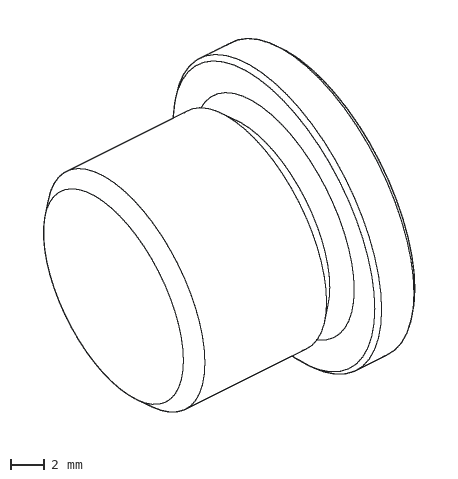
import cadquery as cq

flange_radius = 10.5
flange_thickness = 3.0
flange_chamfer = 0.3

total_length = 15.0
shank_radius = 16.0 / 2
shank_chamfer = 0.92

collar_radius = 8.13
collar_length = 1.05
groove_radius = shank_radius - shank_chamfer

groove_bottom = flange_thickness + collar_length
shank_start = groove_bottom + shank_chamfer

profile = (
    cq.Workplane("XY")
    .moveTo(0, 0)
    .lineTo(flange_radius - flange_chamfer, 0)
    .lineTo(flange_radius, -flange_chamfer)
    .lineTo(flange_radius, -(flange_thickness - flange_chamfer))
    .lineTo(flange_radius - flange_chamfer, -flange_thickness)
    .lineTo(collar_radius, -flange_thickness)
    .lineTo(groove_radius, -groove_bottom)
    .lineTo(shank_radius, -shank_start)
    .lineTo(shank_radius, -(total_length - shank_chamfer))
    .lineTo(shank_radius - shank_chamfer, -total_length)
    .lineTo(0, -total_length)
    .close()
)

result = profile.revolve(360, (0, 0, 0), (0, 1, 0))